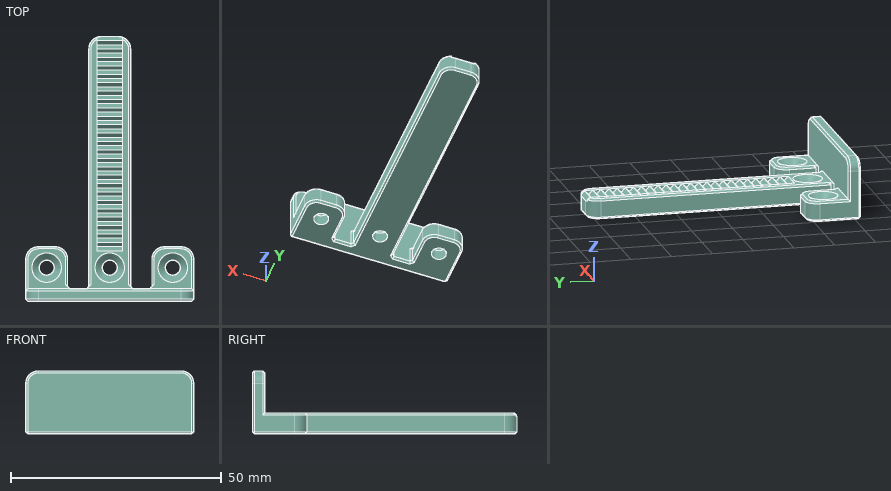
import cadquery as cq

plate_width = 40.0
plate_thickness = 3.0
plate_height = 15.0

arm_width = 10.0
arm_height = 5.0
long_arm_end = 63.0
tab_end = 13.0
tab_spacing = (plate_width - arm_width) / 2

corner_radius = 3.0
edge_chamfer = 0.5
gusset_leg = 0.5

hole_diameter = 3.5
countersink_diameter = 7.0
countersink_angle = 90.0
hole_y = (plate_thickness + tab_end) / 2

tooth_pitch = 2.0
tooth_depth = 1.0
tooth_width = 6.0
groove_count = 26

arms = ((-tab_spacing, tab_end), (0.0, long_arm_end), (tab_spacing, tab_end))


def make_plate():
    """Upright plate with rounded upper corners, its rear rim chamfered except along the bottom."""
    plate = cq.Workplane("XY").box(
        plate_width, plate_thickness, plate_height, centered=(True, False, False)
    )
    plate = plate.edges("|Y and >Z").fillet(corner_radius)
    return plate.faces(">Y").edges("not <Z").chamfer(edge_chamfer)


def make_arm(x_center, end_y):
    """Flat arm with a rounded tip and a chamfered top rim."""
    arm = (
        cq.Workplane("XY")
        .box(arm_width, end_y, arm_height, centered=(True, False, False))
        .translate((x_center, 0, 0))
    )
    arm = arm.edges("|Z and >Y").fillet(corner_radius)
    return arm.faces(">Z").chamfer(edge_chamfer)


def make_gusset(arm_side_x, outward):
    """Small 45 degree corner fill between an arm side and the plate.

    It reaches inward past the chamfer of the arm's top rim and back past the
    chamfer of the plate's rear rim. outward is +1 or -1 along X.
    """
    inner_x = arm_side_x - outward * edge_chamfer
    inner_y = plate_thickness + gusset_leg + edge_chamfer
    outer_x = arm_side_x + outward * gusset_leg
    rear_y = plate_thickness - edge_chamfer
    return (
        cq.Workplane("XY")
        .moveTo(inner_x, rear_y)
        .lineTo(inner_x, inner_y)
        .lineTo(outer_x, plate_thickness)
        .lineTo(outer_x, rear_y)
        .close()
        .extrude(arm_height)
    )


def make_body():
    """Plate, arms and gussets joined, with the bottom and front rims chamfered."""
    body = make_plate()
    for x_center, end_y in arms:
        body = body.union(make_arm(x_center, end_y))
        for outward in (-1, 1):
            side_x = x_center + outward * arm_width / 2
            if abs(side_x) < plate_width / 2:
                body = body.union(make_gusset(side_x, outward))
    body = body.clean()
    return body.faces("<Z or <Y").edges().chamfer(edge_chamfer)


def make_groove_cutter():
    """Row of V-shaped prisms that leave the teeth standing."""
    half_pitch = tooth_pitch / 2
    cutter = cq.Workplane("YZ", origin=(-tooth_width / 2, 0, 0))
    for index in range(groove_count):
        groove_y = long_arm_end - index * tooth_pitch
        cutter = (
            cutter.moveTo(groove_y - half_pitch, arm_height)
            .lineTo(groove_y, arm_height - tooth_depth)
            .lineTo(groove_y + half_pitch, arm_height)
            .close()
        )
    return cutter.extrude(tooth_width)


def drill_screw_holes(body):
    """Countersunk through hole from the top of each arm."""
    return (
        body.copyWorkplane(cq.Workplane("XY", origin=(0, 0, arm_height)))
        .pushPoints([(x_center, hole_y) for x_center, _ in arms])
        .cskHole(hole_diameter, countersink_diameter, countersink_angle)
    )


result = drill_screw_holes(make_body().cut(make_groove_cutter()))